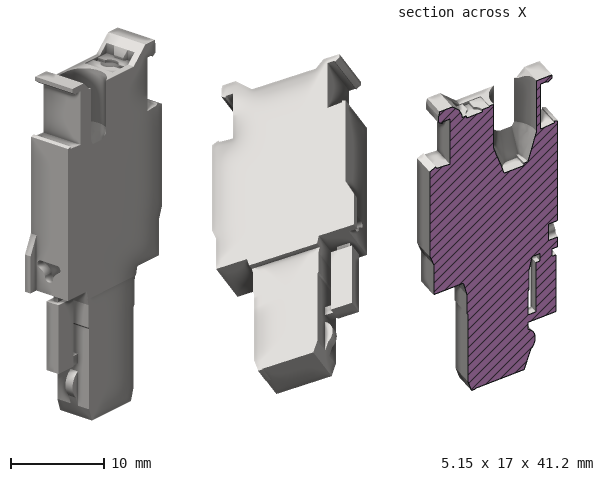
import cadquery as cq


width = 5.15
total_height = 41.15
body_depth = 16.0
body_bottom = 15.6
shoulder = 33.22
lip_top = 33.6
deck = 39.28
tab_underside = 39.52
front_tab_top = 40.25
head_front = 2.15
head_back = 13.5
deck_front = 3.6
deck_back = 11.2
tab_slope_top = 13.17
lower_back = 15.52
lower_back_top = 19.9
back_slope_top = 21.25
front_face_top = 33.47
ledge_outer = 33.35
front_ridge = 0.45
rear_ridge_inner = 15.1
rear_ridge_outer = 15.25

front_tab_end = 0.75
front_tab_back = 2.65
front_tab_nose = 39.75
front_hook_outer = 1.28
front_hook_inner = 1.4
rear_tab_end = 14.9
rear_tab_corner = 14.8
rear_tab_shoulder = 40.55
rear_tab_nose = 39.65
rear_hook_outer = 14.45
rear_hook_inner = 14.3
front_hook_tip = 39.4
rear_hook_tip = 39.3

neck_bottom = 14.6
neck_front = 3.2
neck_back = 11.8
taper_back = 11.55
plug_left = 0.65
plug_right = 5.05
collar_top = 13.87
collar_bottom = 11.2
collar_step = 0.2
collar_front = 3.6
neck_slope = (collar_front - neck_front) / (body_bottom - collar_top)
taper_front = neck_front + neck_slope * (body_bottom - neck_bottom)
collar_back = 11.4
plug_front = 3.7
plug_back = 11.3
plug_chamfer_top = 1.55
plug_base = 0.1
plug_toe = 4.2
foot_right = 2.6
foot_front = 10.3
foot_back = 10.83

skirt_width = 0.8
skirt_reach = 1.0
skirt_root = 0.4
skirt_slope_top = 22.1
skirt_slope_bottom = 19.95

latch_left = 1.98
latch_right = 3.65
latch_front = 0.2
latch_back = 2.75
latch_bottom = 6.55
hanger_left = 2.5
hanger_right = 3.13
hanger_front = 0.75
hanger_back = 2.25
link_height = 1.1
fin_left = 2.5
fin_right = 3.5
fin_slope_top = 2.65
fin_top = 5.6
fin_crest_y = 2.8
fin_crest_z = 4.0

pocket_left = 0.5
pocket_right = 4.35
pocket_front = 8.55
pocket_back = 12.3
pocket_floor = deck - 0.12
slot_floor = pocket_floor - 0.33
slot_width = 0.8
disc_radius = 1.0
disc_y = 10.4
wedge_left = 1.52
wedge_right = 3.4
wedge_reach = 0.35
wedge_side_run = 0.33
wedge_front_height = 0.3
wedge_back_height = 1.2

mouth_depth = 6.18
taper_depth = 4.1
sill_back = 4.25
sill_height = 0.33
funnel_seam = 5.65

keyhole_depth = 1.15
keyhole_x = 2.5
keyhole_top = 19.3
keyhole_bottom = 17.05
lobe_z = 18.75
lobe_bottom = 18.4
stem_top = 17.65


def box(x0, x1, y0, y1, z0, z1):
    return cq.Workplane("XY").box(x1 - x0, y1 - y0, z1 - z0, centered=False).translate((x0, y0, z0))


def side_plane(x):
    """YZ sketch plane at the given X; extrusions run towards +X."""
    return cq.Workplane("YZ", origin=(x, 0, 0))


def side_plate(points, x0, x1):
    return side_plane(x0).polyline(points).close().extrude(x1 - x0)


def make_body():
    outline = [
        (0, body_bottom), (0, front_face_top), (front_ridge, lip_top), (front_ridge, ledge_outer),
        (head_front, shoulder), (head_front, tab_underside), (front_hook_inner, tab_underside),
        (front_hook_outer, front_hook_tip), (front_tab_end, front_tab_nose),
        (front_tab_end, front_tab_top), (front_tab_back, front_tab_top),
        (deck_front, deck), (deck_back, deck), (tab_slope_top, total_height),
        (rear_tab_corner, total_height), (rear_tab_end, rear_tab_shoulder),
        (rear_tab_end, rear_tab_nose), (rear_hook_outer, rear_hook_tip),
        (rear_hook_inner, tab_underside), (head_back, tab_underside),
        (head_back, shoulder), (rear_ridge_inner, ledge_outer), (rear_ridge_outer, lip_top),
        (body_depth, shoulder), (body_depth, back_slope_top),
        (lower_back, lower_back_top), (lower_back, body_bottom),
        (neck_back, body_bottom), (taper_back, neck_bottom),
        (taper_front, neck_bottom), (neck_front, body_bottom),
    ]
    return side_plate(outline, 0, width)


def make_skirt():
    outline = [
        (0, body_bottom), (-skirt_reach, body_bottom),
        (-skirt_reach, skirt_slope_bottom), (0, skirt_slope_top),
        (skirt_root, skirt_slope_top), (skirt_root, body_bottom),
    ]
    return side_plate(outline, 0, skirt_width)


def make_plug():
    outline = [
        (taper_front, neck_bottom), (taper_back, neck_bottom),
        (collar_back, collar_top), (collar_back, collar_bottom), (plug_back, collar_bottom - collar_step),
        (plug_back, plug_chamfer_top), (foot_back, plug_base), (plug_toe, plug_base),
        (plug_front, plug_chamfer_top), (plug_front, collar_bottom - collar_step),
        (collar_front, collar_bottom), (collar_front, collar_top),
    ]
    foot = box(plug_left, foot_right, foot_front, foot_back, 0, plug_base)
    return side_plate(outline, plug_left, plug_right).union(foot)


def make_latch():
    bar = box(latch_left, latch_right, latch_front, latch_back, latch_bottom, neck_bottom)
    hanger = box(hanger_left, hanger_right, hanger_front, hanger_back, neck_bottom, body_bottom)
    link = box(fin_left, fin_right, latch_back, plug_front, latch_bottom, latch_bottom + link_height)
    return bar.union(hanger).union(link)


def make_fin():
    """Rounded contact nose on the front of the plug; its lower slope continues the plug chamfer."""
    chamfer_run = (plug_toe - plug_front) / (plug_chamfer_top - plug_base)
    slope_end = plug_front - chamfer_run * (fin_slope_top - plug_chamfer_top)
    return (
        side_plane(fin_left)
        .moveTo(plug_front, fin_top)
        .threePointArc((fin_crest_y, fin_crest_z), (slope_end, fin_slope_top))
        .lineTo(plug_front, plug_chamfer_top)
        .close()
        .extrude(fin_right - fin_left)
    )


def make_pocket():
    """Actuator pocket with a slotted disc in its floor and a wedge on its rear wall."""
    centre_x = (pocket_left + pocket_right) / 2
    cavity = box(pocket_left, pocket_right, pocket_front, pocket_back, pocket_floor, total_height)

    wedge_plan = [
        (wedge_left, pocket_back), (wedge_right, pocket_back),
        (wedge_right - wedge_side_run, pocket_back - wedge_reach),
        (wedge_left + wedge_side_run, pocket_back - wedge_reach),
    ]
    wedge_side = [
        (pocket_back, pocket_floor), (pocket_back, pocket_floor + wedge_back_height),
        (pocket_back - wedge_reach, pocket_floor + wedge_front_height),
        (pocket_back - wedge_reach, pocket_floor),
    ]
    wedge = (
        cq.Workplane("XY", origin=(0, 0, pocket_floor))
        .polyline(wedge_plan).close().extrude(wedge_back_height)
        .intersect(side_plate(wedge_side, wedge_left, wedge_right))
    )

    slot = box(
        pocket_left, pocket_right,
        disc_y - slot_width / 2, disc_y + slot_width / 2,
        slot_floor, pocket_floor,
    )
    disc = (
        cq.Workplane("XY", origin=(centre_x, disc_y, slot_floor))
        .circle(disc_radius).extrude(pocket_floor - slot_floor)
    )
    return cavity.cut(wedge).union(slot).union(disc)


def funnel_section(plane, left, right, back, straight_end, front):
    """Arched opening: rear arc, straight sides and a bowed front."""
    middle = (left + right) / 2
    return (
        plane.moveTo(left, funnel_seam)
        .threePointArc((middle, back), (right, funnel_seam))
        .lineTo(right, straight_end)
        .threePointArc((middle, front), (left, straight_end))
        .close()
    )


def make_funnel():
    """Straight mouth that breaks out through +X, above a skewed taper with a low front sill."""
    mouth = {"left": 0.35, "right": 5.3, "back": 8.03, "straight_end": 4.25, "front": 2.68}
    throat = {"left": 0.85, "right": 4.0, "back": 6.7, "straight_end": 4.0, "front": 3.85}
    mouth_plane = cq.Workplane("XY", origin=(0, 0, deck - mouth_depth))
    straight = funnel_section(mouth_plane, **mouth).extrude(total_height - deck + mouth_depth)
    throat_plane = funnel_section(mouth_plane, **mouth).workplane(offset=-taper_depth)
    taper = funnel_section(throat_plane, **throat).loft(ruled=True)
    floor = deck - mouth_depth - taper_depth
    sill = box(mouth["left"], mouth["right"], mouth["front"], sill_back, floor, floor + sill_height)
    return straight.union(taper).cut(sill)


def make_keyhole():
    """Trefoil recess: two upper lobes and a round-ended stem, symmetric about its centre line."""
    flat = 1.03
    lobe = 1.55
    lobe_foot = 1.28
    waist = 0.75
    waist_z = 18.0
    stem = 0.58
    return (
        cq.Workplane("XZ")
        .moveTo(keyhole_x - flat, keyhole_top)
        .lineTo(keyhole_x + flat, keyhole_top)
        .threePointArc((keyhole_x + lobe, lobe_z), (keyhole_x + lobe_foot, lobe_bottom))
        .threePointArc((keyhole_x + waist, waist_z), (keyhole_x + stem, stem_top))
        .threePointArc((keyhole_x, keyhole_bottom), (keyhole_x - stem, stem_top))
        .threePointArc((keyhole_x - waist, waist_z), (keyhole_x - lobe_foot, lobe_bottom))
        .threePointArc((keyhole_x - lobe, lobe_z), (keyhole_x - flat, keyhole_top))
        .close()
        .extrude(-keyhole_depth)
    )


result = (
    make_body()
    .union(make_skirt())
    .union(make_plug())
    .union(make_latch())
    .union(make_fin())
    .cut(make_pocket())
    .cut(make_funnel())
    .cut(make_keyhole())
)